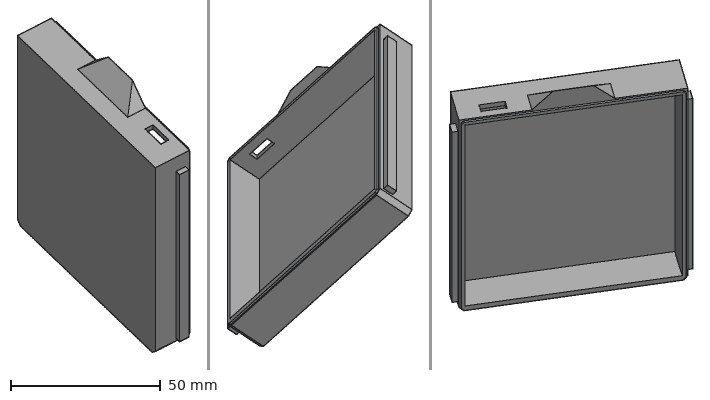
import cadquery as cq
import math

total_width = 82.0
total_depth = 14.9
total_height = 95.25

latch_height = 7.3
rail_projection = 2.0
rim_depth = 0.8
wall = 2.0
bottom_chamfer = 1.8
body_width = total_width - 2 * rail_projection
body_depth = total_depth - rim_depth
body_height = total_height - latch_height

rim_inset = 0.7
rim_chamfer = 1.0

latch_base_width = 28.3
latch_top_width = latch_base_width - 2 * latch_height

rail_depth = 3.9
rail_back_gap = 1.6
rail_bottom_gap = 3.0
rail_length = 78.3

slot_width = 8.9
slot_depth = 3.2
slot_center_x = 26.5
slot_center_to_back = 4.3
slot_center_y = body_depth - slot_center_to_back

ramp_angle = 9.0


def box(width, depth, height, x, y, z):
    """Box centred on x, starting at y and z."""
    return cq.Workplane("XY").box(width, depth, height, centered=(True, False, False)).translate((x, y, z))


def make_body():
    block = box(body_width, body_depth, body_height, 0, 0, 0)
    return block.faces("<Z").edges("|Y").chamfer(bottom_chamfer)


def make_rim():
    width = body_width - 2 * rim_inset
    height = body_height - 2 * rim_inset
    return box(width, rim_depth, height, 0, body_depth, rim_inset).edges("|Y").chamfer(rim_chamfer)


def make_cavity():
    return box(body_width - 2 * wall, total_depth - wall, body_height - 2 * wall, 0, wall, wall)


def make_ramp():
    length = total_depth - slot_center_y
    rise = length * math.tan(math.radians(ramp_angle))
    profile = [
        (slot_center_y, wall),
        (total_depth, wall),
        (total_depth, wall + rise),
    ]
    ramp_width = body_width - 2 * wall
    return cq.Workplane("YZ").polyline(profile).close().extrude(ramp_width / 2, both=True)


def make_latch():
    front_outline = [
        (-latch_base_width / 2, body_height),
        (latch_base_width / 2, body_height),
        (latch_top_width / 2, total_height),
        (-latch_top_width / 2, total_height),
    ]
    side_outline = [
        (body_depth - latch_height, body_height),
        (body_depth, body_height),
        (body_depth, total_height),
    ]
    nose = cq.Workplane("XZ").polyline(front_outline).close().extrude(-body_depth)
    slope = cq.Workplane("YZ").polyline(side_outline).close().extrude(latch_base_width / 2, both=True)
    return nose.intersect(slope)


def make_rail(side):
    x = side * (body_width + rail_projection) / 2
    y = body_depth - rail_back_gap - rail_depth
    return box(rail_projection, rail_depth, rail_length, x, y, rail_bottom_gap)


def make_slot():
    y = slot_center_y - slot_depth / 2
    return box(slot_width, slot_depth, wall, slot_center_x, y, body_height - wall)


result = make_body().union(make_rim()).cut(make_cavity()).union(make_ramp())
result = result.union(make_latch()).cut(make_slot())
for side in (-1, 1):
    result = result.union(make_rail(side))